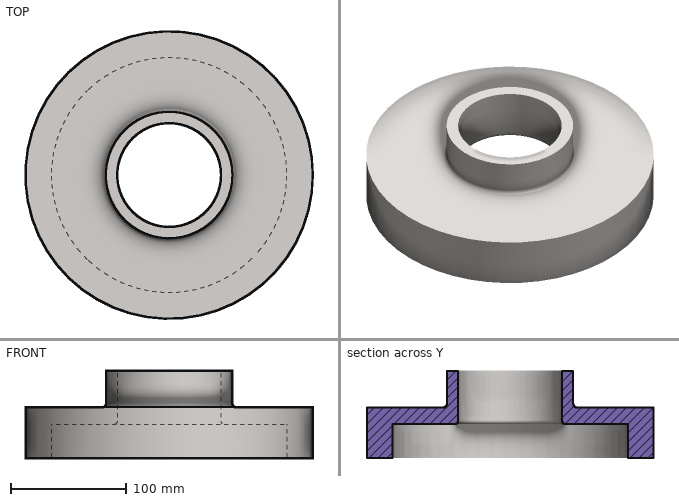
import cadquery as cq

flange_diameter = 250.0
flange_height = 44.5

total_height = 76.2
hub_diameter = 110.0

bore_diameter = 90.0
recess_diameter = 204.5
recess_depth = 29.5

edge_radius = 3.2


def wall_profile():
    """Half section of the stepped ring, with X as radius and Y as height."""
    flange_radius = flange_diameter / 2
    hub_radius = hub_diameter / 2
    bore_radius = bore_diameter / 2
    recess_radius = recess_diameter / 2
    return (
        cq.Workplane("XZ")
        .moveTo(recess_radius, 0)
        .lineTo(flange_radius, 0)
        .lineTo(flange_radius, flange_height)
        .lineTo(hub_radius + edge_radius, flange_height)
        .radiusArc((hub_radius, flange_height + edge_radius), edge_radius)
        .lineTo(hub_radius, total_height)
        .lineTo(bore_radius, total_height)
        .lineTo(bore_radius, recess_depth + edge_radius)
        .radiusArc((bore_radius + edge_radius, recess_depth), -edge_radius)
        .lineTo(recess_radius, recess_depth)
        .close()
    )


result = wall_profile().revolve(360, (0, 0, 0), (0, 1, 0))